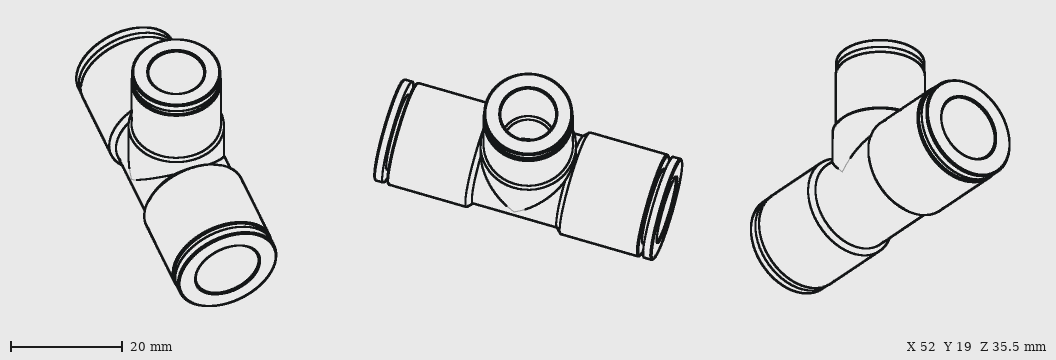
import cadquery as cq

run_length = 52.0
run_body_diameter = 19.0
run_ring_diameter = 18.8
run_groove_diameter = 14.0
run_socket_diameter = 12.0
run_bore_diameter = 11.0
run_shoulder = 8.85

overall_height = 35.5
branch_length = overall_height - run_body_diameter / 2
branch_body_diameter = 16.0
branch_ring_diameter = 15.8
branch_groove_diameter = 12.0
branch_socket_diameter = 10.0
branch_bore_diameter = 9.0
branch_shoulder = 11.25

tee_diameter = 17.1

ring_thickness = 1.55
body_setback = 2.5
edge_chamfer = 0.2
socket_depth = 13.0


def revolve_about_z(profile):
    """Turn a closed (radius, height) outline into a solid of revolution."""
    return cq.Workplane("XZ").polyline(profile).close().revolve(360, (0, 0), (0, 1))


def tube_end(length, body_start, body_diameter, ring_diameter, groove_diameter):
    """Tube along +Z: tee portion, 45 degree taper, body, groove and release ring."""
    tee_radius = tee_diameter / 2
    body_radius = body_diameter / 2
    ring_radius = ring_diameter / 2
    groove_radius = groove_diameter / 2
    body_end = length - body_setback
    ring_start = length - ring_thickness
    taper_start = body_start - max(body_radius - tee_radius, 0)
    taper_end = body_start + max(tee_radius - body_radius, 0)
    return revolve_about_z([
        (0, 0),
        (tee_radius, 0),
        (tee_radius, taper_start),
        (body_radius, taper_end),
        (body_radius, body_end - edge_chamfer),
        (body_radius - edge_chamfer, body_end),
        (groove_radius, body_end),
        (groove_radius, ring_start),
        (ring_radius, ring_start),
        (ring_radius, length - edge_chamfer),
        (ring_radius - edge_chamfer, length),
        (0, length),
    ])


def tube_hole(length, socket_diameter, bore_diameter):
    """Hole along +Z: bore, conical step, socket and chamfered mouth."""
    socket_radius = socket_diameter / 2
    bore_radius = bore_diameter / 2
    socket_start = length - socket_depth
    return revolve_about_z([
        (0, 0),
        (bore_radius, 0),
        (bore_radius, socket_start - (socket_radius - bore_radius)),
        (socket_radius, socket_start),
        (socket_radius, length - edge_chamfer),
        (socket_radius + edge_chamfer, length),
        (0, length),
    ])


def both_run_ends(shape):
    """Lay a +Z shape along +X and join it to its mirror image along -X."""
    right_end = shape.rotate((0, 0, 0), (0, 1, 0), 90)
    return right_end.union(right_end.mirror("YZ"))


run = both_run_ends(tube_end(
    run_length / 2, run_shoulder, run_body_diameter, run_ring_diameter, run_groove_diameter))
branch = tube_end(
    branch_length, branch_shoulder, branch_body_diameter, branch_ring_diameter, branch_groove_diameter)

run_hole = both_run_ends(tube_hole(run_length / 2, run_socket_diameter, run_bore_diameter))
branch_hole = tube_hole(branch_length, branch_socket_diameter, branch_bore_diameter)

result = run.union(branch).cut(run_hole).cut(branch_hole)